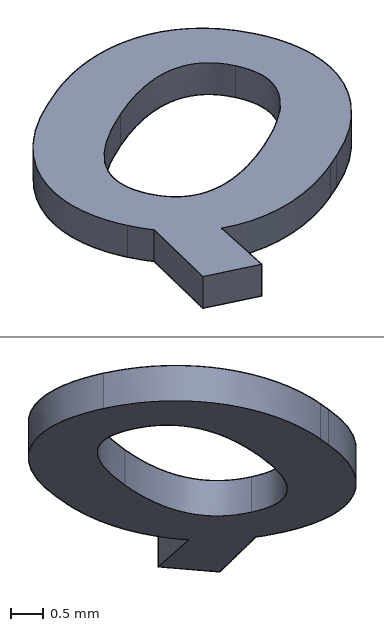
import cadquery as cq

width = 4.71
height = 6.59
thickness = 0.6

bowl_bottom = 0.91
center_x = width / 2
center_y = (height + bowl_bottom) / 2

outer_half_width = width / 2
outer_half_height = (height - bowl_bottom) / 2
outer_half_flat = 0.13
outer_side_pull = 1.52
outer_crown_pull = 1.49

inner_half_width = 1.2
inner_half_height = 1.9
inner_side_pull = 1.225
inner_crown_pull = 0.825

tail_outline = [
    (2.52, 1.16),
    (3.955, 0.0),
    (4.69, 0.645),
    (3.5, 1.55),
]


def oval_prism(half_width, half_height, side_pull, crown_pull, half_flat=0):
    """Extruded oval of four mirrored Bezier quarters, optionally with short straight sides."""
    quarter = [
        (half_width, half_flat),
        (half_width, half_flat + side_pull),
        (crown_pull, half_height),
        (0, half_height),
    ]
    upper_right = quarter
    upper_left = [(-x, y) for x, y in reversed(quarter)]
    lower_left = [(-x, -y) for x, y in quarter]
    lower_right = [(x, -y) for x, y in reversed(quarter)]

    outline = cq.Workplane("XY").center(center_x, center_y).moveTo(*quarter[0])
    outline = outline.bezier(upper_right).bezier(upper_left)
    if half_flat > 0:
        outline = outline.lineTo(*lower_left[0])
    outline = outline.bezier(lower_left).bezier(lower_right)
    return outline.close().extrude(thickness)


outer_oval = oval_prism(
    outer_half_width, outer_half_height, outer_side_pull, outer_crown_pull, outer_half_flat
)
inner_oval = oval_prism(inner_half_width, inner_half_height, inner_side_pull, inner_crown_pull)
tail = cq.Workplane("XY").polyline(tail_outline).close().extrude(thickness)

result = outer_oval.cut(inner_oval).union(tail)